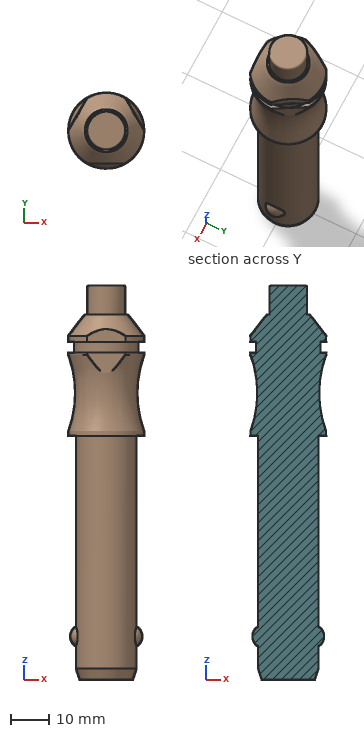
import cadquery as cq


shank_radius = 8.0
shank_length = 64.0
tip_radius = 7.0
tip_height = 3.0

rim_radius = 10.0
waist_radius = 8.2
lower_rim_height = 1.2
waist_height = 11.25
grip_top = 21.9

groove_radius = 8.5
groove_width = 2.8
head_rim_height = 1.6
head_top = 31.9
crown_radius = 5.6
shoulder_radius = 6.4
shoulder_drop = 0.9

button_radius = 5.0
button_top = 39.5
button_edge_radius = 0.5

flat_count = 3
flat_distance = 8.66
first_flat_angle = -90.0

ball_radius = 3.0
ball_reach = 9.5
ball_to_tip = 11.4

upper_rim_bottom = 2 * waist_height - lower_rim_height
head_bottom = grip_top + groove_width
cone_bottom = head_bottom + head_rim_height
shoulder_height = head_top - shoulder_drop
ball_height = -shank_length + ball_to_tip
ball_offset = ball_reach - ball_radius


def make_shank():
    profile = (
        cq.Workplane("XZ")
        .moveTo(0, -shank_length)
        .lineTo(tip_radius, -shank_length)
        .lineTo(shank_radius, -shank_length + tip_height)
        .lineTo(shank_radius, lower_rim_height)
        .lineTo(0, lower_rim_height)
        .close()
    )
    return profile.revolve(360, (0, 0, 0), (0, 1, 0))


def make_handle():
    profile = (
        cq.Workplane("XZ")
        .moveTo(0, 0)
        .lineTo(rim_radius, 0)
        .lineTo(rim_radius, lower_rim_height)
        .threePointArc((waist_radius, waist_height), (rim_radius, upper_rim_bottom))
        .lineTo(rim_radius, grip_top)
        .lineTo(groove_radius, grip_top)
        .lineTo(groove_radius, head_bottom)
        .lineTo(rim_radius, head_bottom)
        .lineTo(rim_radius, cone_bottom)
        .lineTo(shoulder_radius, shoulder_height)
        .lineTo(crown_radius, head_top)
        .lineTo(0, head_top)
        .close()
    )
    return profile.revolve(360, (0, 0, 0), (0, 1, 0))


def make_flat_cutter(angle):
    """Block that removes the handle material beyond one flat, above the waist."""
    depth = rim_radius
    height = head_top - waist_height
    block = cq.Workplane("XY").box(depth, 2 * rim_radius, height, centered=(False, True, False))
    block = block.translate((flat_distance, 0, waist_height))
    return block.rotate((0, 0, 0), (0, 0, 1), angle)


def make_button():
    length = button_top - grip_top
    button = cq.Workplane("XY").workplane(offset=grip_top).circle(button_radius).extrude(length)
    return button.faces(">Z").edges().fillet(button_edge_radius)


def make_ball(side):
    return cq.Workplane("XY").sphere(ball_radius).translate((side * ball_offset, 0, ball_height))


handle = make_handle()
for index in range(flat_count):
    angle = first_flat_angle + index * 360 / flat_count
    handle = handle.cut(make_flat_cutter(angle))

result = make_shank().union(handle).union(make_button())
for side in (-1, 1):
    result = result.union(make_ball(side))